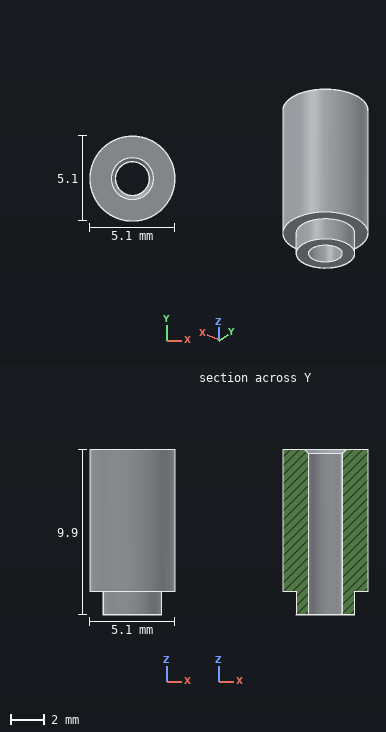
import cadquery as cq

total_height = 9.9
body_diameter = 5.1
spigot_diameter = 3.5
spigot_height = 1.4
body_height = total_height - spigot_height

bore_diameter = 2.01
bore_chamfer = 0.25

spigot = cq.Workplane("XY").circle(spigot_diameter / 2).extrude(spigot_height)
body = (
    cq.Workplane("XY")
    .workplane(offset=spigot_height)
    .circle(body_diameter / 2)
    .extrude(body_height)
)
spacer = spigot.union(body)

bored_spacer = spacer.faces(">Z").workplane().hole(bore_diameter)
result = bored_spacer.faces(">Z").edges("%CIRCLE").edges(
    cq.selectors.RadiusNthSelector(0)
).chamfer(bore_chamfer)